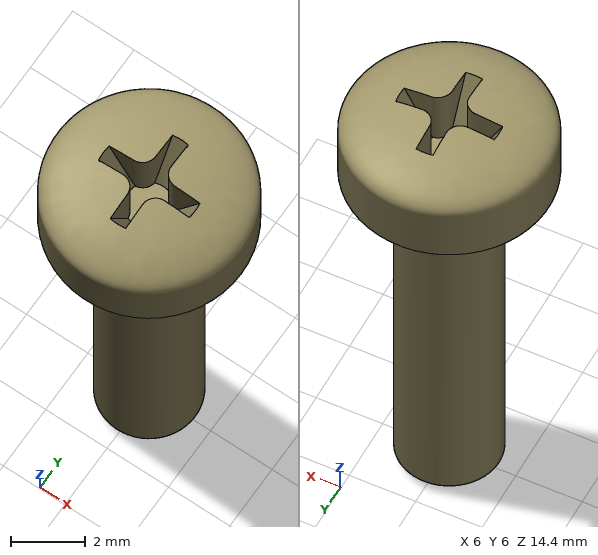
import cadquery as cq
import math

total_length = 14.39
head_diameter = 6.0
head_height = 2.4
rim_height = 13.6
shank_diameter = head_diameter / 2
tip_chamfer = 0.3

recess_top_radius = 1.55
recess_floor_radius = 0.68
recess_depth = 1.73
wing_width = 0.5
wing_corner_radius = 0.43

head_radius = head_diameter / 2
shank_radius = shank_diameter / 2
shank_length = total_length - head_height

crest_radius = math.sqrt(2) * (wing_width / 2 + wing_corner_radius) - wing_corner_radius
crest_fraction = math.sqrt(1 - (crest_radius / head_radius) ** 2)
dome_height = (total_length - rim_height) / crest_fraction
dome_apex = rim_height + dome_height


def make_shank():
    """Plain round shank with a chamfered tip, standing on Z = 0."""
    shank = cq.Workplane("XY").circle(shank_radius).extrude(shank_length)
    return shank.faces("<Z").chamfer(tip_chamfer)


def make_head():
    """Pan head: a cylindrical band under a quarter-ellipse dome."""
    return (
        cq.Workplane("XZ")
        .moveTo(0, shank_length)
        .lineTo(head_radius, shank_length)
        .lineTo(head_radius, rim_height)
        .ellipseArc(head_radius, dome_height, 0, 90, startAtCurrent=True)
        .close()
        .revolve(360, (0, 0, 0), (0, 1, 0))
    )


def make_recess():
    """Cross with rounded inner corners, its wing ends tapering on a cone."""
    floor_height = dome_apex - recess_depth
    wing_length = 2 * head_radius
    base = cq.Workplane("XY").workplane(offset=floor_height)
    cross = base.rect(wing_length, wing_width).extrude(recess_depth)
    cross = cross.union(base.rect(wing_width, wing_length).extrude(recess_depth))
    corner_reach = wing_width
    inner_corners = cq.selectors.BoxSelector(
        (-corner_reach, -corner_reach, floor_height),
        (corner_reach, corner_reach, dome_apex),
    )
    cross = cross.edges("|Z").edges(inner_corners).fillet(wing_corner_radius)
    cone = (
        base.circle(recess_floor_radius)
        .workplane(offset=recess_depth)
        .circle(recess_top_radius)
        .loft()
    )
    return cross.intersect(cone)


result = make_shank().union(make_head()).cut(make_recess())